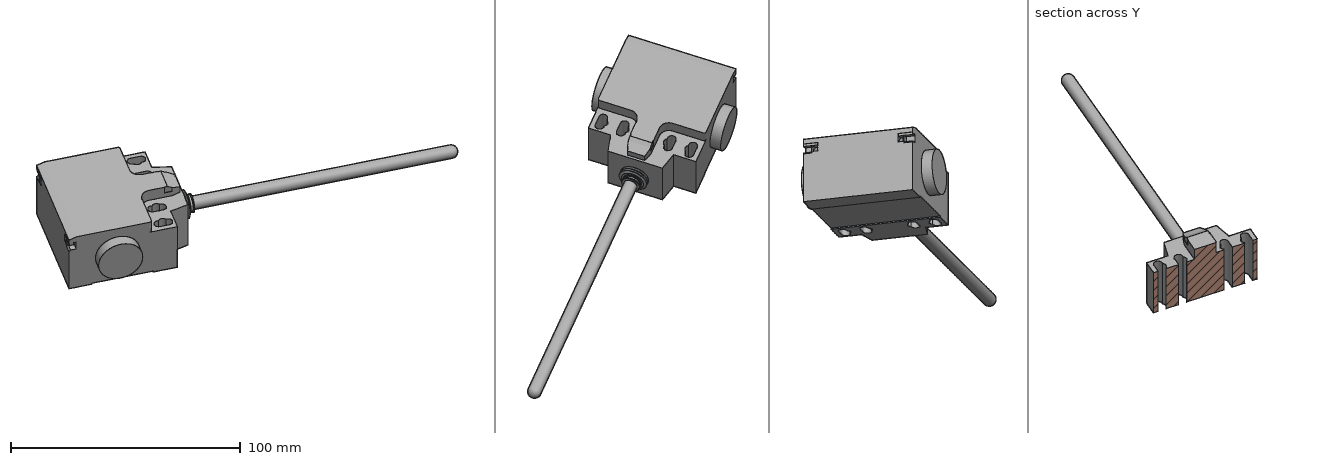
import cadquery as cq
import math

BODY_WIDTH = 50.1
BODY_LENGTH = 49.2
HEIGHT = 30.0
SHELF_Z = 24.0
NECK_END_Y = 57.6
NECK_BASE_HALF = 14.7
NECK_END_HALF = 12.7

COVER_BACK_Y = 37.6
COVER_CORNER_RADIUS = 1.0
TONGUE_HALF = 5.3
TONGUE_TIP_HALF = 4.0
TONGUE_TAPER_Y = 52.5
TONGUE_TIP_Y = 56.5
TONGUE_TIP_Z = 27.2
TONGUE_ROOT_RADIUS = 4.4
TONGUE_SLOPE_Y = 50.5
TONGUE_BREAK_Z = 28.8
RELIEF_START_Y = 49.2
RELIEF_DEPTH = 0.2
SEAM_Z = 26.6
FRONT_BEVEL_LENGTH = 3.7
FRONT_BEVEL_DROP = 1.1

OVERALL_WIDTH = 60.0
BOSS_DIAMETER = 20.0
BOSS_Y = 22.0
BOSS_Z = 15.0
RECESS_START_Y = 10.5
RECESS_END_Y = 38.2
RECESS_DEPTH = 0.5
LATCH_WIDTH = 6.6
POCKET_WIDTH = 3.9
WINDOW_START = 4.4
POCKET_DEPTH = 3.3
POCKET_FLOOR_Z = 22.8
POCKET_BEVEL = 0.7
LIP_DEPTH = 2.2
LIP_SETBACK = 0.2
LIP_Z = 25.5
SLOT_WIDTH = 3.9
SLOT_LENGTH = 8.3
SLOT_Y = 44.0
SLOT_OFFSETS = (11.0, 21.0)
SLOT_BULGE_SHIFT = 1.0

ROD_DIAMETER = 6.0
ROD_RADIUS = ROD_DIAMETER / 2
ROD_Z = 12.3
ROD_TIP_Y = 183.5
RIB_CREST_RADIUS = 6.5
RIB_VALLEY_RADIUS = 5.1
RIB_PITCH = 1.1
RIB_COUNT = 3
COLLAR_RADIUS = 4.2
COLLAR_GROOVE_RADIUS = 3.9
COLLAR_END_Y = 63.1
COLLAR_RIM = 0.5
COLLAR_GROOVE_START_Y = 61.5


def box(x_range, y_range, z_range):
    """A box given by its limits along X, Y and Z."""
    sizes = [high - low for low, high in (x_range, y_range, z_range)]
    corner = (x_range[0], y_range[0], z_range[0])
    return cq.Workplane("XY").box(*sizes, centered=False).translate(corner)


def lower_block():
    """The rectangular block and the tapered neck behind it, up to the shelf."""
    half = BODY_WIDTH / 2
    return (
        cq.Workplane("XY")
        .moveTo(-half, 0)
        .lineTo(half, 0)
        .lineTo(half, BODY_LENGTH)
        .lineTo(NECK_BASE_HALF, BODY_LENGTH)
        .lineTo(NECK_END_HALF, NECK_END_Y)
        .lineTo(-NECK_END_HALF, NECK_END_Y)
        .lineTo(-NECK_BASE_HALF, BODY_LENGTH)
        .lineTo(-half, BODY_LENGTH)
        .close()
        .extrude(SHELF_Z)
    )


def cover_prism():
    """The raised cover with its tongue as a straight prism above the shelf."""
    half = BODY_WIDTH / 2
    height = HEIGHT - SHELF_Z
    plate = (
        box((-half, half), (0, COVER_BACK_Y), (SHELF_Z, HEIGHT))
        .edges("|Z and >Y")
        .fillet(COVER_CORNER_RADIUS)
    )
    root_x = TONGUE_HALF + TONGUE_ROOT_RADIUS
    root_y = COVER_BACK_Y + TONGUE_ROOT_RADIUS
    arc_reach = TONGUE_ROOT_RADIUS * math.sqrt(0.5)
    tongue = (
        cq.Workplane("XY", origin=(0, 0, SHELF_Z))
        .moveTo(-root_x, COVER_BACK_Y)
        .lineTo(root_x, COVER_BACK_Y)
        .threePointArc((root_x - arc_reach, root_y - arc_reach), (TONGUE_HALF, root_y))
        .lineTo(TONGUE_HALF, TONGUE_TAPER_Y)
        .lineTo(TONGUE_TIP_HALF, TONGUE_TIP_Y)
        .lineTo(-TONGUE_TIP_HALF, TONGUE_TIP_Y)
        .lineTo(-TONGUE_HALF, TONGUE_TAPER_Y)
        .lineTo(-TONGUE_HALF, root_y)
        .threePointArc((arc_reach - root_x, root_y - arc_reach), (-root_x, COVER_BACK_Y))
        .close()
        .extrude(height)
    )
    return plate.union(tongue)


def cover():
    """The cover, bevelled along its front edge and sloping down along its tongue."""
    profile = (
        cq.Workplane("YZ")
        .moveTo(0, SHELF_Z)
        .lineTo(0, HEIGHT - FRONT_BEVEL_DROP)
        .lineTo(FRONT_BEVEL_LENGTH, HEIGHT)
        .lineTo(TONGUE_SLOPE_Y, HEIGHT)
        .lineTo(TONGUE_TAPER_Y, TONGUE_BREAK_Z)
        .lineTo(TONGUE_TIP_Y, TONGUE_TIP_Z)
        .lineTo(TONGUE_TIP_Y, SHELF_Z)
        .close()
        .extrude(BODY_WIDTH / 2, both=True)
    )
    return cover_prism().intersect(profile)


def tongue_relief(side):
    """The shallow step in one side of the tongue above the seam."""
    inner = TONGUE_HALF - RELIEF_DEPTH
    x_range = sorted((side * inner, side * TONGUE_HALF))
    return box(x_range, (RELIEF_START_Y, TONGUE_TAPER_Y), (SEAM_Z, HEIGHT))


def bosses():
    """The two coaxial cable entry bosses, as one cylinder across the housing."""
    return (
        cq.Workplane("YZ")
        .center(BOSS_Y, BOSS_Z)
        .circle(BOSS_DIAMETER / 2)
        .extrude(OVERALL_WIDTH / 2, both=True)
    )


def base_recess():
    """The shallow recess across the full width of the base."""
    half = BODY_WIDTH / 2
    return box((-half, half), (RECESS_START_Y, RECESS_END_Y), (0, RECESS_DEPTH))


def side_prism(points, side, near, far):
    """A (Y, Z) outline swept along X between two distances in from a side face."""
    start = side * (BODY_WIDTH / 2 - near)
    plane = cq.Workplane("YZ", origin=(start, 0, 0))
    return plane.polyline(points).close().extrude(-side * (far - near))


def latch_pocket(side):
    """The corner pocket below the cover, stepped around the hanging lip."""
    outline = [
        (0, POCKET_FLOOR_Z - POCKET_BEVEL),
        (POCKET_BEVEL, POCKET_FLOOR_Z),
        (POCKET_DEPTH, POCKET_FLOOR_Z),
        (POCKET_DEPTH, SEAM_Z),
        (LIP_DEPTH, SEAM_Z),
        (LIP_DEPTH, LIP_Z),
        (0, LIP_Z),
    ]
    return side_prism(outline, side, 0, POCKET_WIDTH)


def latch_window(side):
    """The window beside the pocket, with a floor that ramps up to the rear."""
    outline = [(0, POCKET_FLOOR_Z), (POCKET_DEPTH, LIP_Z), (0, LIP_Z)]
    return side_prism(outline, side, WINDOW_START, LATCH_WIDTH)


def lip_setback(side):
    """The shallow step in the front of the lip, below the seam."""
    outline = [(0, LIP_Z), (LIP_SETBACK, LIP_Z), (LIP_SETBACK, SEAM_Z), (0, SEAM_Z)]
    return side_prism(outline, side, 0, LATCH_WIDTH)


def mounting_slot(side, offset):
    """A through slot with a round bulge towards the centre plane."""
    slot = (
        cq.Workplane("XY")
        .center(side * offset, SLOT_Y)
        .slot2D(SLOT_LENGTH, SLOT_WIDTH, 90)
        .extrude(SHELF_Z)
    )
    bulge = (
        cq.Workplane("XY")
        .center(side * (offset - SLOT_BULGE_SHIFT), SLOT_Y)
        .circle(SLOT_WIDTH / 2)
        .extrude(SHELF_Z)
    )
    return slot.union(bulge)


def make_housing():
    body = lower_block().union(cover()).union(bosses()).cut(base_recess())
    for side in (-1, 1):
        for feature in (tongue_relief, latch_pocket, latch_window, lip_setback):
            body = body.cut(feature(side))
        for offset in SLOT_OFFSETS:
            body = body.cut(mounting_slot(side, offset))
    return body


def make_rod():
    """The round-tipped rod and its ribbed boot, turned about the rod axis."""
    profile = (
        cq.Workplane("XY", origin=(0, 0, ROD_Z))
        .moveTo(0, NECK_END_Y)
        .lineTo(RIB_VALLEY_RADIUS, NECK_END_Y)
    )
    for rib in range(RIB_COUNT):
        crest_y = NECK_END_Y + (rib + 0.5) * RIB_PITCH
        valley_y = NECK_END_Y + (rib + 1) * RIB_PITCH
        profile = profile.lineTo(RIB_CREST_RADIUS, crest_y).lineTo(RIB_VALLEY_RADIUS, valley_y)
    shoulder_y = ROD_TIP_Y - ROD_RADIUS
    arc_reach = ROD_RADIUS * math.sqrt(0.5)
    return (
        profile.lineTo(COLLAR_RADIUS, valley_y)
        .lineTo(COLLAR_RADIUS, COLLAR_GROOVE_START_Y)
        .lineTo(COLLAR_GROOVE_RADIUS, COLLAR_GROOVE_START_Y)
        .lineTo(COLLAR_GROOVE_RADIUS, COLLAR_END_Y - COLLAR_RIM)
        .lineTo(COLLAR_RADIUS, COLLAR_END_Y - COLLAR_RIM)
        .lineTo(COLLAR_RADIUS, COLLAR_END_Y)
        .lineTo(ROD_RADIUS, COLLAR_END_Y)
        .lineTo(ROD_RADIUS, shoulder_y)
        .threePointArc((arc_reach, shoulder_y + arc_reach), (0, ROD_TIP_Y))
        .close()
        .revolve(360, (0, 0, 0), (0, 1, 0))
    )


housing = make_housing()
rod = make_rod()

result = cq.Compound.makeCompound([housing.val(), rod.val()])